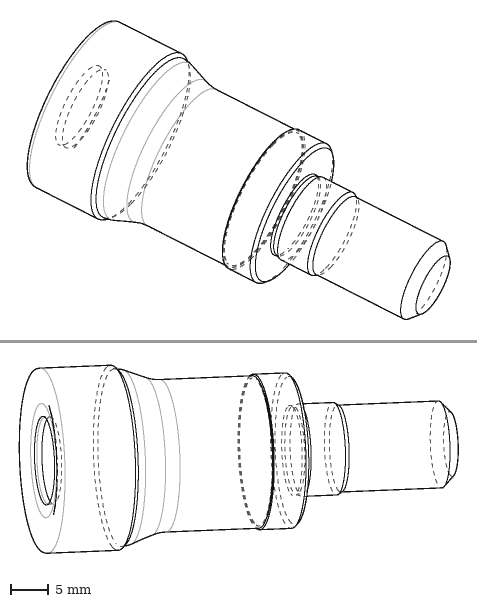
import cadquery as cq
import math

grip_radius = 12.5
grip_length = 10.95
front_edge_length = 0.7
rear_edge_length = 0.5
collar_radius = 12.0
sleeve_radius = 20.6 / 2
shoulder_blend_radius = 3.0
neck_blend_radius = 6.0
neck_angle = math.radians(20.5)
knob_length = 29.95

rim_outer_radius = 11.95
rim_outer_depth = 0.06
rim_crest_radius = 10.9
dish_wall_top_radius = 10.2
dish_wall_top_depth = 0.07
dish_wall_foot_radius = 9.2
dish_wall_foot_depth = 0.45
dish_step_radius = 7.7
dish_step_depth = 0.66
disc_radius = 11.75 / 2
mouth_radius = 5.97
mouth_chamfer_depth = 0.3
cone_slope = 0.07
disc_depth = 1.0

flange_gap = 0.15
spigot_radius = 10.0
flange_start = knob_length + flange_gap
flange_radius = 21.0 / 2
flange_end = 35.0
flange_chamfer = 0.5
neck_radius = 6.1
waist_radius = 5.97
waist_position = 35.4
waist_blend_radius = 0.7
guide_radius = 12.5 / 2
guide_start = 36.2
guide_end = 40.95
pin_radius = 11.75 / 2
pin_start = 41.55
tip_chamfer = 1.5
overall_length = 57.0


def revolve_about_x(profile):
    return profile.close().revolve(360, (0, 0, 0), (1, 0, 0))


def make_knob():
    shoulder_drop = shoulder_blend_radius * (1 - math.cos(neck_angle))
    neck_blend_drop = neck_blend_radius * (1 - math.cos(neck_angle))
    cone_start_radius = collar_radius - shoulder_drop
    cone_end_radius = sleeve_radius + neck_blend_drop
    cone_start = grip_length + shoulder_blend_radius * math.sin(neck_angle)
    cone_end = cone_start + (cone_start_radius - cone_end_radius) / math.tan(neck_angle)
    sleeve_start = cone_end + neck_blend_radius * math.sin(neck_angle)

    cone_depth = dish_step_depth + cone_slope * (dish_step_radius - mouth_radius)
    disc_position = cone_depth + disc_depth

    profile = (
        cq.Workplane("XY")
        .moveTo(disc_position, 0)
        .lineTo(disc_position, disc_radius)
        .lineTo(cone_depth + mouth_chamfer_depth, disc_radius)
        .lineTo(cone_depth, mouth_radius)
        .lineTo(dish_step_depth, dish_step_radius)
        .spline(
            [
                (dish_wall_foot_depth, dish_wall_foot_radius),
                (dish_wall_top_depth, dish_wall_top_radius),
                (0, rim_crest_radius),
                (rim_outer_depth, rim_outer_radius),
                (front_edge_length, grip_radius),
            ],
            tangents=[(-cone_slope, 1), None, None, (0, 1), None, (1, 0)],
            includeCurrent=True,
        )
        .lineTo(grip_length - rear_edge_length, grip_radius)
        .lineTo(grip_length, collar_radius)
        .radiusArc((cone_start, cone_start_radius), shoulder_blend_radius)
        .lineTo(cone_end, cone_end_radius)
        .radiusArc((sleeve_start, sleeve_radius), -neck_blend_radius)
        .lineTo(knob_length, sleeve_radius)
        .lineTo(knob_length, 0)
    )
    return revolve_about_x(profile)


def make_plunger():
    profile = (
        cq.Workplane("XY")
        .moveTo(knob_length, 0)
        .lineTo(knob_length, spigot_radius)
        .lineTo(flange_start, spigot_radius)
        .lineTo(flange_start, flange_radius)
        .lineTo(flange_end - flange_chamfer, flange_radius)
        .lineTo(flange_end, flange_radius - flange_chamfer)
        .lineTo(flange_end, neck_radius)
        .radiusArc((waist_position, waist_radius), waist_blend_radius)
        .lineTo(guide_start, guide_radius)
        .lineTo(guide_end, guide_radius)
        .lineTo(pin_start, pin_radius)
        .lineTo(overall_length - tip_chamfer, pin_radius)
        .lineTo(overall_length, pin_radius - tip_chamfer)
        .lineTo(overall_length, 0)
    )
    return revolve_about_x(profile)


knob = make_knob()
plunger = make_plunger()
result = cq.Compound.makeCompound([knob.val(), plunger.val()])